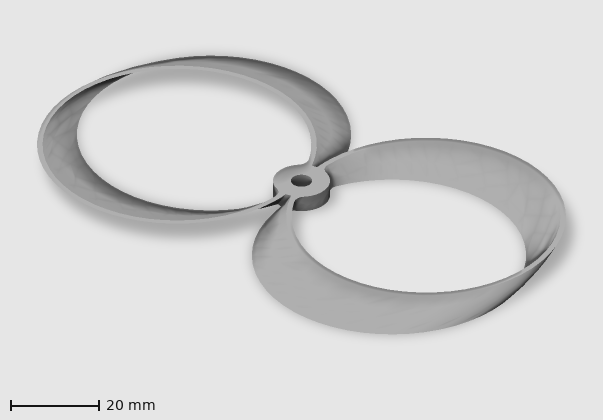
import cadquery as cq
import math

span = 127.0
depth = 88.0
height = 4.0
wall = 1.3
hub_radius = 6.5
bore_diameter = 4.8
root_fillet = 2.5

ring_radius = span / 4
opening_radius = ring_radius - wall
twist = math.degrees(math.asin((depth / 2 - ring_radius) / ring_radius))
ring_centers = [(-ring_radius, 0), (ring_radius, 0)]


def straight_blank():
    """Untwisted propeller: two rings joined by the hub, with filleted ring roots."""
    hub = cq.Workplane("XY").circle(hub_radius).extrude(height)
    blank = hub
    for center in ring_centers:
        ring = cq.Workplane("XY").center(*center).circle(ring_radius).circle(opening_radius).extrude(height)
        blank = blank.union(ring.cut(hub))

    root_distance = (hub_radius**2 + ring_radius**2 - opening_radius**2) / (2 * ring_radius)
    root_offset = math.sqrt(hub_radius**2 - root_distance**2)
    for x in (-root_distance, root_distance):
        for y in (-root_offset, root_offset):
            corner = cq.selectors.NearestToPointSelector((x, y, height / 2))
            blank = blank.edges("|Z").edges(corner).fillet(root_fillet)
    return blank


def twisted_body():
    """Sweep the propeller outline upward along the hub axis, turning counterclockwise."""
    outline = straight_blank().faces("<Z").wires().vals()
    lower_outline = [wire.rotate(cq.Vector(0, 0, 0), cq.Vector(0, 0, 1), -twist) for wire in outline]
    return cq.Workplane("XY").newObject(lower_outline).toPending().twistExtrude(height, twist)


bore = cq.Workplane("XY").circle(bore_diameter / 2).extrude(height)
result = twisted_body().cut(bore)